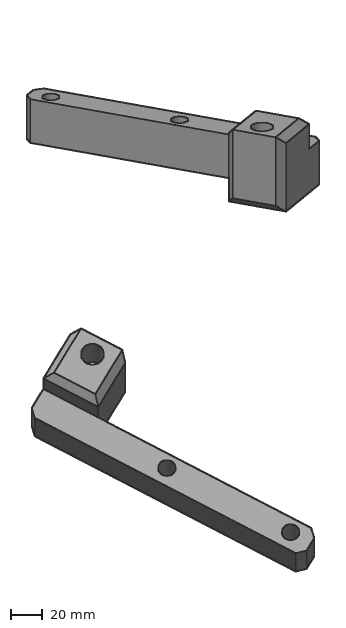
import cadquery as cq

length = 200.0
width = 60.0
height = 52.0

bar_width = 20.0
bar_height = 30.0
bar_hole_diameter = 11.0
bar_hole_y = 49.0
first_hole_x = 15.0
hole_spacing = 90.0

block_length = 40.0
block_width = width - bar_width
block_hole_diameter = 14.5
block_hole_y = 12.0
block_hole_depth = 30.0

chamfer = 5.0


def make_bar():
    """Flat bar with three chamfered upright corners."""
    bar = cq.Workplane("XY").box(length, bar_width, bar_height, centered=False)
    bar = bar.edges("|Z and (<X or >Y)").chamfer(chamfer)
    return bar.translate((0, block_width, 0))


def make_block():
    """Block bevelled around its front face and top, except the top front edge."""
    block = cq.Workplane("XY").box(block_length, block_width, height, centered=False)
    front_edges = block.faces("<Y").edges("not >Z")
    top_edges = block.faces(">Z").edges("not <Y")
    block = front_edges.add(top_edges).chamfer(chamfer)
    return block.translate((length - block_length, 0, 0))


def bar_holes():
    """Cutters for the two through holes in the bar."""
    return (
        cq.Workplane("XY")
        .pushPoints([(first_hole_x, bar_hole_y), (first_hole_x + hole_spacing, bar_hole_y)])
        .circle(bar_hole_diameter / 2)
        .extrude(bar_height)
    )


def block_hole():
    """Cutter for the blind hole in the top of the block."""
    return (
        cq.Workplane("XY", origin=(length - block_length / 2, block_hole_y, height))
        .circle(block_hole_diameter / 2)
        .extrude(-block_hole_depth)
    )


result = make_bar().union(make_block()).cut(bar_holes()).cut(block_hole())